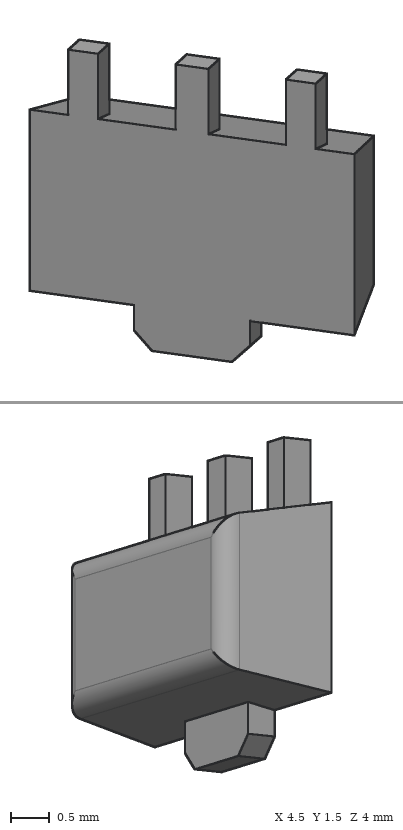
import cadquery as cq

body_length = 4.5
body_height = 2.5
body_depth = 1.5
draft_angle = 10.0
edge_radius = 0.3

terminal_thickness = 0.4
lead_length = 0.9
lead_pitch = 1.508
outer_lead_width = 0.415
middle_lead_width = 0.455
tab_length = 0.6
tab_width = 1.61
tab_chamfer = 0.25

terminal_root = body_height / 4


def make_body():
    """Tapered block with a rounded rim around its narrow face."""
    block = (
        cq.Workplane("XZ")
        .rect(body_length, body_height)
        .extrude(-body_depth, taper=draft_angle)
    )
    return block.faces(">Y").edges().fillet(edge_radius)


def make_lead(center_x, width):
    """Straight lead rising from inside the body past its +Z side."""
    tip = body_height / 2 + lead_length
    return (
        cq.Workplane("XZ")
        .center(center_x, terminal_root)
        .rect(width, tip - terminal_root, centered=(True, False))
        .extrude(-terminal_thickness)
    )


def make_tab():
    """Wide tab leaving the -Z side, with both free corners chamfered."""
    half_width = tab_width / 2
    tip = -body_height / 2 - tab_length
    return (
        cq.Workplane("XZ")
        .moveTo(-half_width, -terminal_root)
        .lineTo(-half_width, tip + tab_chamfer)
        .lineTo(-half_width + tab_chamfer, tip)
        .lineTo(half_width - tab_chamfer, tip)
        .lineTo(half_width, tip + tab_chamfer)
        .lineTo(half_width, -terminal_root)
        .close()
        .extrude(-terminal_thickness)
    )


result = make_body().union(make_tab())
for center_x, width in (
    (-lead_pitch, outer_lead_width),
    (0, middle_lead_width),
    (lead_pitch, outer_lead_width),
):
    result = result.union(make_lead(center_x, width))